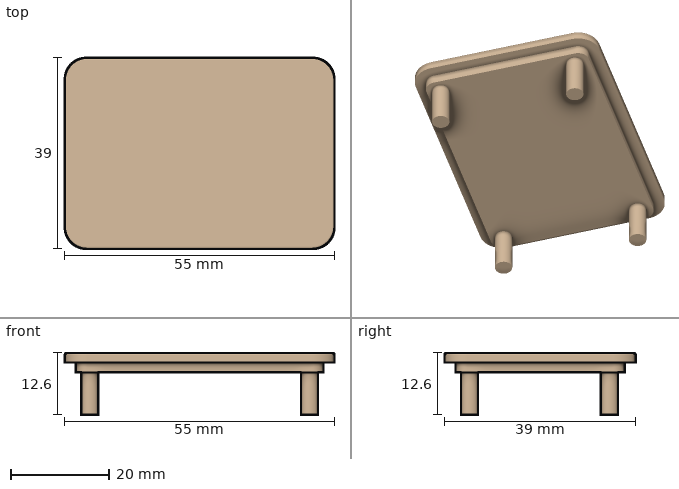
import cadquery as cq

plate_length = 55.0
plate_width = 39.0
plate_thickness = 2.0
corner_radius = 4.5
edge_round = 0.5

step_inset = 2.25
step_thickness = 2.0

total_height = 12.6
pin_diameter = 3.5
pin_spacing_x = 44.75
pin_spacing_y = 28.5
pin_shift_y = -0.14
pin_length = total_height - plate_thickness - step_thickness


def rounded_slab(length, width, thickness, radius, bottom):
    """Centred rectangular slab with rounded vertical corners."""
    slab = cq.Workplane("XY").workplane(offset=bottom).rect(length, width).extrude(thickness)
    return slab.edges("|Z").fillet(radius)


plate = rounded_slab(plate_length, plate_width, plate_thickness, corner_radius, step_thickness)
plate = plate.faces(">Z").edges().fillet(edge_round)

step = rounded_slab(
    plate_length - 2 * step_inset,
    plate_width - 2 * step_inset,
    step_thickness,
    corner_radius - step_inset,
    0,
)

pins = (
    cq.Workplane("XY")
    .center(0, pin_shift_y)
    .rect(pin_spacing_x, pin_spacing_y, forConstruction=True)
    .vertices()
    .circle(pin_diameter / 2)
    .extrude(-pin_length)
)

result = plate.union(step).union(pins)